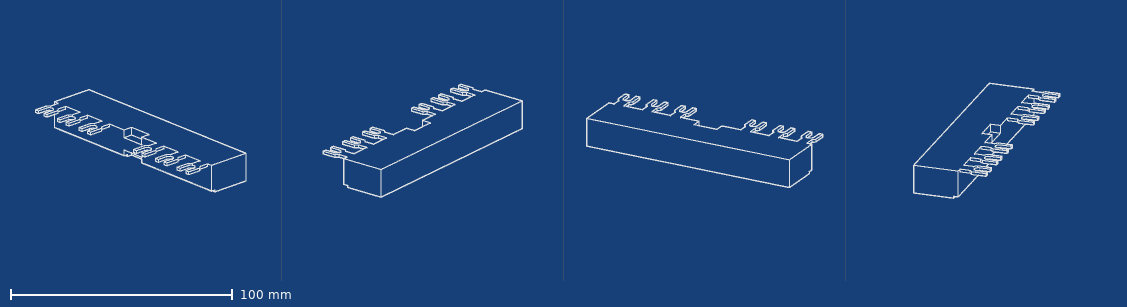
import cadquery as cq

length = 104.2
depth = 21.4
height = 13.5

step_depth = 2.2
step_height = 0.9

notch_width = 11.7
notch_depth = 4.7
notch_height = 3.8

fork_reach = 12.8
fork_thickness = 1.4
stem_width = 5.0
stem_length = 4.7
fork_width = 7.6
slot_width = 3.8
slot_start = 5.9
shoulder_length = (fork_width - stem_width) / 2

forks_per_side = 3
inner_fork_x = 18.0
fork_pitch = 14.5


def make_body():
    """Block with the lower front step and the two front notches."""
    profile = [
        (0, 0),
        (depth, 0),
        (depth, -height),
        (step_depth, -height),
        (step_depth, step_height - height),
        (0, step_height - height),
    ]
    body = cq.Workplane("YZ").polyline(profile).close().extrude(length / 2, both=True)
    notch = cq.Workplane("XY").box(
        notch_width, notch_depth, notch_height, centered=(True, False, False)
    )
    for notch_bottom in (-notch_height, -height):
        body = body.cut(notch.translate((0, 0, notch_bottom)))
    return body


def make_fork(x):
    """Flat terminal with a round-ended slot open toward the front."""
    half_stem = stem_width / 2
    half_fork = fork_width / 2
    half_slot = slot_width / 2
    shoulder_end = -(stem_length + shoulder_length)
    slot_arc_start = -(slot_start + half_slot)
    outline = (
        cq.Workplane("XY")
        .moveTo(-half_stem, 0)
        .lineTo(-half_stem, -stem_length)
        .lineTo(-half_fork, shoulder_end)
        .lineTo(-half_fork, -fork_reach)
        .lineTo(-half_slot, -fork_reach)
        .lineTo(-half_slot, slot_arc_start)
        .threePointArc((0, -slot_start), (half_slot, slot_arc_start))
        .lineTo(half_slot, -fork_reach)
        .lineTo(half_fork, -fork_reach)
        .lineTo(half_fork, shoulder_end)
        .lineTo(half_stem, -stem_length)
        .lineTo(half_stem, 0)
        .close()
    )
    return outline.extrude(-fork_thickness).translate((x, 0, 0))


result = make_body()
for index in range(forks_per_side):
    fork_x = inner_fork_x + index * fork_pitch
    for side in (-1, 1):
        result = result.union(make_fork(side * fork_x))